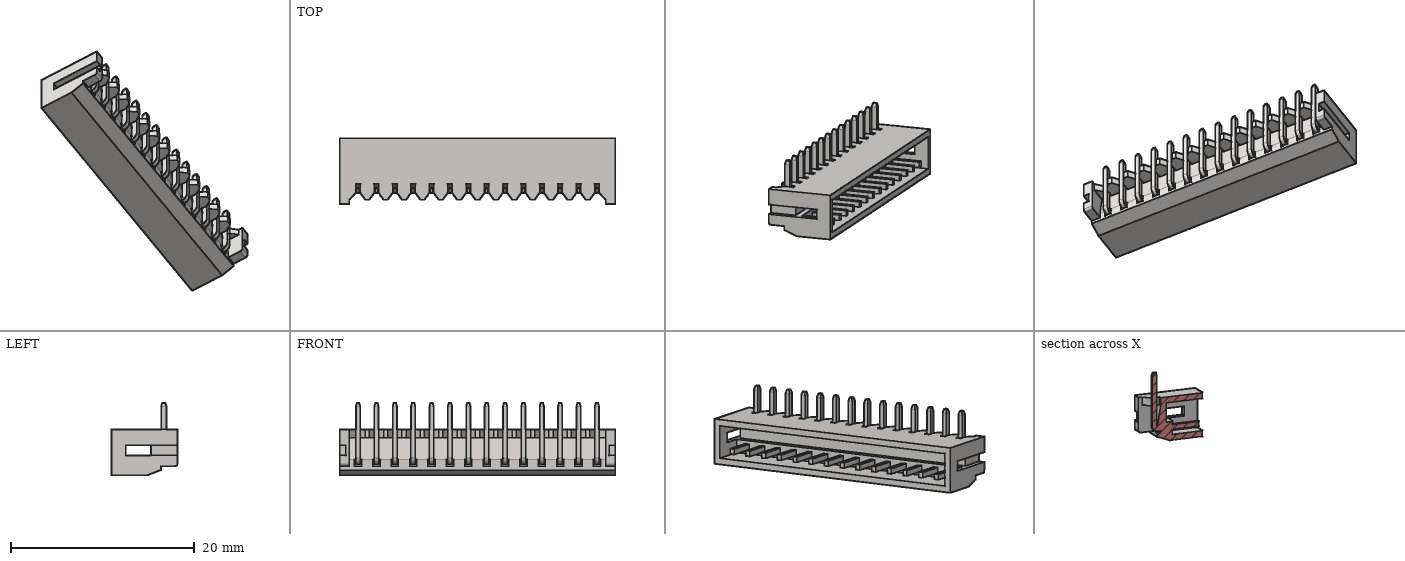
import cadquery as cq


PIN_COUNT = 14
PITCH = 2.0
PIN_WIDTH = 0.5
PIN_THICKNESS = 0.6
PIN_FRONT_Y = 1.2
PIN_UNDERSIDE_Z = 1.2
PIN_TOP_Z = 7.9
PIN_END_Y = 6.8
PIN_TIP_LENGTH = 0.4
PIN_TIP_INSET = 0.12
BEND_OUTER_RADIUS = 0.7
BEND_INNER_RADIUS = BEND_OUTER_RADIUS - PIN_THICKNESS

LENGTH = 30.0
DEPTH = 7.2
HEIGHT = 5.0
END_PLATE_WIDTH = 1.05
END_PLATE_BOTTOM_Z = 0.99
END_PLATE_EDGE_RADIUS = 0.3
INNER_LENGTH = LENGTH - 2 * END_PLATE_WIDTH

LEDGE_FRONT_Y = 1.8
LEDGE_TOP_Z = 1.73
BEVEL_HEIGHT = 0.58
BEVEL_BACK_Y = 3.3
WALL_TOP_Y = 2.2

COMB_BOTTOM_Z = 4.1
COMB_FRONT_Y = 0.47
TOOTH_TIP_WIDTH = 0.46
PIN_SLOT_BACK_Y = 2.2

RELIEF_WIDTH = 0.8
RELIEF_BOTTOM_Z = 1.02
RELIEF_BACK_Y = 2.2

GROOVE_DEPTH = 0.67
GROOVE_BOTTOM_Z = 2.17
GROOVE_TOP_Z = 3.26
GROOVE_BACK_Y = 5.62

CAVITY_UPPER_FRONT_Y = 2.9
CAVITY_LOWER_FRONT_Y = 3.66
CAVITY_STEP_Z = GROOVE_BOTTOM_Z
CAVITY_END_WALL = GROOVE_DEPTH
CAVITY_FLOOR_Z = 0.7
CAVITY_TOP_Z = 4.3

PIN_CENTERS = [(i - (PIN_COUNT - 1) / 2) * PITCH for i in range(PIN_COUNT)]


def block(x_min, x_max, y_min, y_max, z_min, z_max):
    """Axis-aligned box given by its limits."""
    box = cq.Workplane("XY").box(x_max - x_min, y_max - y_min, z_max - z_min, centered=False)
    return box.translate((x_min, y_min, z_min))


def extrude_along_x(profile, width):
    """Solid with a closed (y, z) outline, centred on X = 0."""
    return cq.Workplane("YZ").polyline(profile).close().extrude(width / 2, both=True)


def make_end_profile_body():
    """Full-length body with the side outline of the end plates."""
    body = extrude_along_x(
        [
            (0, END_PLATE_BOTTOM_Z),
            (LEDGE_FRONT_Y, END_PLATE_BOTTOM_Z),
            (LEDGE_FRONT_Y, BEVEL_HEIGHT),
            (BEVEL_BACK_Y, 0),
            (DEPTH, 0),
            (DEPTH, HEIGHT),
            (0, HEIGHT),
        ],
        LENGTH,
    )
    lower_front_edge = cq.selectors.NearestToPointSelector((0, 0, END_PLATE_BOTTOM_Z))
    return body.edges(lower_front_edge).fillet(END_PLATE_EDGE_RADIUS)


def make_pin_recess():
    """Space between the end plates, below the comb and in front of the sloped wall."""
    return extrude_along_x(
        [
            (0, 0),
            (LEDGE_FRONT_Y, 0),
            (LEDGE_FRONT_Y, LEDGE_TOP_Z),
            (WALL_TOP_Y, COMB_BOTTOM_Z),
            (0, COMB_BOTTOM_Z),
        ],
        INNER_LENGTH,
    )


def make_comb_cutter():
    """Space in front of the teeth: one V per pin, flat at each tooth tip."""
    inner_end = INNER_LENGTH / 2
    valley_half = PIN_WIDTH / 2
    tip_offset = (PITCH - TOOTH_TIP_WIDTH) / 2
    outline = [(-inner_end, 0), (-inner_end, COMB_FRONT_Y)]
    for x in PIN_CENTERS:
        if x != PIN_CENTERS[0]:
            outline.append((x - tip_offset, COMB_FRONT_Y))
        outline.append((x - valley_half, PIN_FRONT_Y))
        outline.append((x + valley_half, PIN_FRONT_Y))
        if x != PIN_CENTERS[-1]:
            outline.append((x + tip_offset, COMB_FRONT_Y))
    outline += [(inner_end, COMB_FRONT_Y), (inner_end, 0)]
    comb = cq.Workplane("XY").workplane(offset=COMB_BOTTOM_Z).polyline(outline).close()
    return comb.extrude(HEIGHT - COMB_BOTTOM_Z)


def cut_end_grooves(body):
    """Groove in each end, open at the front."""
    half = LENGTH / 2
    for x_min, x_max in ((-half, GROOVE_DEPTH - half), (half - GROOVE_DEPTH, half)):
        body = body.cut(block(x_min, x_max, 0, GROOVE_BACK_Y, GROOVE_BOTTOM_Z, GROOVE_TOP_Z))
    return body


def cut_cavity(body):
    """Mating cavity with a stepped front wall, which breaks into the rear part of both end grooves."""
    cavity = extrude_along_x(
        [
            (CAVITY_UPPER_FRONT_Y, CAVITY_TOP_Z),
            (CAVITY_UPPER_FRONT_Y, CAVITY_STEP_Z),
            (CAVITY_LOWER_FRONT_Y, CAVITY_STEP_Z),
            (CAVITY_LOWER_FRONT_Y, CAVITY_FLOOR_Z),
            (DEPTH, CAVITY_FLOOR_Z),
            (DEPTH, CAVITY_TOP_Z),
        ],
        LENGTH - 2 * CAVITY_END_WALL,
    )
    return body.cut(cavity)


def cut_pin_openings(body):
    """Slot through the comb and relief in the ledge at every pin."""
    for x in PIN_CENTERS:
        half_slot = PIN_WIDTH / 2
        half_relief = RELIEF_WIDTH / 2
        slot = block(x - half_slot, x + half_slot, PIN_FRONT_Y, PIN_SLOT_BACK_Y, COMB_BOTTOM_Z, HEIGHT)
        relief = block(
            x - half_relief, x + half_relief, LEDGE_FRONT_Y, RELIEF_BACK_Y, RELIEF_BOTTOM_Z, LEDGE_TOP_Z
        )
        body = body.cut(slot).cut(relief)
    return body


def make_pin():
    """Rectangular pin bent from vertical to horizontal, with tapered upper tip, at X = 0."""
    shank_top = PIN_TOP_Z - PIN_TIP_LENGTH
    pin_back_y = PIN_FRONT_Y + PIN_THICKNESS
    pin_upper_z = PIN_UNDERSIDE_Z + PIN_THICKNESS
    bend_y = PIN_FRONT_Y + BEND_OUTER_RADIUS
    bend_z = PIN_UNDERSIDE_Z + BEND_OUTER_RADIUS
    shank = (
        cq.Workplane("YZ")
        .moveTo(PIN_FRONT_Y, shank_top)
        .lineTo(PIN_FRONT_Y, bend_z)
        .radiusArc((bend_y, PIN_UNDERSIDE_Z), -BEND_OUTER_RADIUS)
        .lineTo(PIN_END_Y, PIN_UNDERSIDE_Z)
        .lineTo(PIN_END_Y, pin_upper_z)
        .lineTo(bend_y, pin_upper_z)
        .radiusArc((pin_back_y, bend_z), BEND_INNER_RADIUS)
        .lineTo(pin_back_y, shank_top)
        .close()
        .extrude(PIN_WIDTH / 2, both=True)
    )
    tip_width = PIN_WIDTH - 2 * PIN_TIP_INSET
    tip_thickness = PIN_THICKNESS - 2 * PIN_TIP_INSET
    tip = (
        cq.Workplane("XY", origin=(0, PIN_FRONT_Y + PIN_THICKNESS / 2, shank_top))
        .rect(PIN_WIDTH, PIN_THICKNESS)
        .workplane(offset=PIN_TIP_LENGTH)
        .rect(tip_width, tip_thickness)
        .loft()
    )
    return shank.union(tip)


housing = make_end_profile_body().cut(make_pin_recess()).cut(make_comb_cutter())
housing = cut_pin_openings(cut_cavity(cut_end_grooves(housing)))

pin = make_pin()
result = housing
for pin_x in PIN_CENTERS:
    result = result.union(pin.translate((pin_x, 0, 0)))